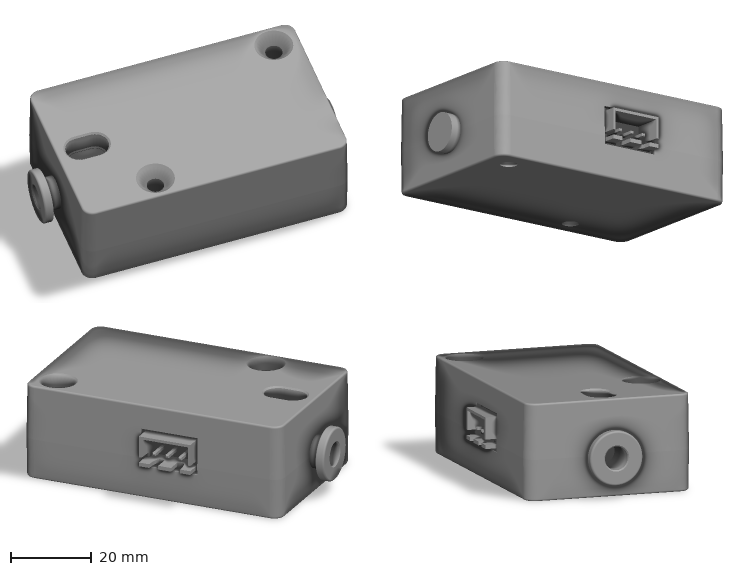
import cadquery as cq


housing_width = 43.6
housing_length = 70.15
upper_height = 14.1
lower_height = 10.56
corner_radius = 3.0
draft_angle = 1.0
rim_fillet = 0.5
left_wall = -housing_width / 2
front_wall = -housing_length / 2

screw_positions = [(-15.7, 28.1), (15.7, -14.3)]
screw_hole_diameter = 4.3
countersink_diameter = 9.65
countersink_angle = 90

window_y = -26.7
window_width = 7.1
window_length = 11.2
window_bevel = 0.4
window_depth = 4.6
window_draft = 4.0
window_floor_width = 5.4
window_floor_length = 9.6
window_floor_drop = 0.15

stub_diameter = 10.0
stub_length = 2.7

neck_diameter = 8.5
flange_diameter = 13.8
flange_thickness = 2.3
flange_front_fillet = 0.5
flange_back_fillet = 0.3
plunger_reach = 5.08
plunger_insertion = 10.0
bore_diameter = 6.0
bore_chamfer = 0.3
bore_depth = 10.0
plunger_tip = front_wall - plunger_reach

connector_y = -4.75
connector_reach = 2.62
connector_width = 14.0
connector_front = left_wall - connector_reach

recess_width = 15.4
recess_bottom = -2.1
recess_top = 7.75
recess_depth = 1.5
recess_floor = left_wall + recess_depth

hood_bottom = 1.2
hood_top = 6.8
tongue_bottom = -1.2
tongue_top = -0.2

cavity_depth = 7.0
cavity_mouth_width = 12.6
cavity_mouth_top = 6.1
cavity_back_width = 11.8
cavity_back_top = 5.85

slot_inner_offset = 1.75
slot_mouth_offset = 4.2
slot_end_offset = 3.2

pin_count = 3
pin_pitch = 3.53
pin_width = 0.9
pin_height = 0.75
pin_z = 2.0
pin_setback = 1.4
pin_tip_chamfer = 0.2


def housing_half(height):
    """Drafted half that rises from the parting plane to a rounded rim."""
    outline = cq.Sketch().rect(housing_width, housing_length).vertices().fillet(corner_radius)
    half = cq.Workplane("XY").placeSketch(outline).extrude(height, taper=draft_angle)
    return half.faces(">Z").edges().fillet(rim_fillet)


def window_cutter(length, width, depth, taper=0):
    """Rounded slot along Y, cut down from the top face."""
    top = cq.Workplane("XY", origin=(0, window_y, upper_height))
    return top.slot2D(length, width, 90).extrude(-depth, taper=taper)


def cylinder_along_y(diameter, start_y, length):
    """Cylinder on the plunger axis that runs from start_y toward +Y."""
    return cq.Workplane("XZ", origin=(0, start_y, 0)).circle(diameter / 2).extrude(-length)


def connector_block(x_start, x_end, y_centre, width, z_bottom, z_top):
    """Block between two X and two Z levels, centred on y_centre."""
    block = cq.Workplane("XY").box(
        x_end - x_start, width, z_top - z_bottom, centered=(False, True, False)
    )
    return block.translate((x_start, y_centre, z_bottom))


def make_cavity():
    """Tapered cavity that opens at the front of the hood and stands on the tongue."""
    mouth_height = cavity_mouth_top - tongue_top
    back_height = cavity_back_top - tongue_top
    mouth = cq.Workplane("YZ", origin=(connector_front, connector_y, tongue_top + mouth_height / 2))
    return (
        mouth.rect(cavity_mouth_width, mouth_height)
        .workplane(offset=cavity_depth)
        .center(0, (back_height - mouth_height) / 2)
        .rect(cavity_back_width, back_height)
        .loft(ruled=True)
    )


def make_tongue_slot(side):
    """Slot through the tongue, on the +Y (side = 1) or -Y (side = -1) half."""
    return (
        cq.Workplane("XY", origin=(0, connector_y, tongue_bottom))
        .moveTo(connector_front, side * slot_inner_offset)
        .lineTo(connector_front, side * slot_mouth_offset)
        .spline(
            [(recess_floor, side * slot_end_offset)],
            tangents=[(1, 0), (1, -side)],
            includeCurrent=True,
        )
        .lineTo(recess_floor, side * slot_inner_offset)
        .close()
        .extrude(tongue_top - tongue_bottom)
    )


def make_pin(y_centre):
    """Square pin that stands forward from the back of the cavity."""
    pin = connector_block(
        connector_front + pin_setback,
        connector_front + cavity_depth,
        y_centre,
        pin_width,
        pin_z - pin_height / 2,
        pin_z + pin_height / 2,
    )
    return pin.faces("<X").chamfer(pin_tip_chamfer)


def add_connector(body):
    """Cut the recess into the -X wall and form the connector inside it."""
    body = body.cut(
        connector_block(
            connector_front, recess_floor, connector_y, recess_width, recess_bottom, recess_top
        )
    )
    for bottom, top in [(hood_bottom, hood_top), (tongue_bottom, tongue_top)]:
        body = body.union(
            connector_block(
                connector_front, recess_floor, connector_y, connector_width, bottom, top
            )
        )
    body = body.cut(make_cavity())
    for side in (-1, 1):
        body = body.cut(make_tongue_slot(side))
    for index in range(pin_count):
        body = body.union(make_pin(connector_y + (index - (pin_count - 1) / 2) * pin_pitch))
    return body


def make_plunger_blank():
    """Plunger without its bore: a rod with a rounded flange at the tip."""
    flange = cylinder_along_y(flange_diameter, plunger_tip, flange_thickness)
    flange = flange.faces("<Y").edges().fillet(flange_front_fillet)
    flange = flange.faces(">Y").edges().fillet(flange_back_fillet)
    return flange.union(
        cylinder_along_y(neck_diameter, plunger_tip + flange_front_fillet,
                         plunger_reach + plunger_insertion - flange_front_fillet)
    )


def make_housing():
    body = housing_half(upper_height).union(housing_half(lower_height).mirror("XY"))
    body = (
        body.faces(">Z")
        .workplane(origin=(0, 0, upper_height))
        .pushPoints(screw_positions)
        .cskHole(screw_hole_diameter, countersink_diameter, countersink_angle)
    )

    rim_length = window_length + 2 * window_bevel
    rim_width = window_width + 2 * window_bevel
    body = body.cut(window_cutter(rim_length, rim_width, window_bevel, taper=45))
    body = body.cut(window_cutter(window_length, window_width, window_depth, taper=window_draft))
    body = body.cut(
        window_cutter(window_floor_length, window_floor_width, window_depth + window_floor_drop)
    )

    body = body.union(cylinder_along_y(stub_diameter, 0, housing_length / 2 + stub_length))

    body = add_connector(body)
    return body.cut(make_plunger_blank())


def make_plunger():
    plunger = make_plunger_blank().cut(cylinder_along_y(bore_diameter, plunger_tip, bore_depth))
    bore_edge = cq.selectors.RadiusNthSelector(0)
    return plunger.faces("<Y").edges(bore_edge).chamfer(bore_chamfer)


housing = make_housing()
plunger = make_plunger()

result = cq.Compound.makeCompound([housing.val(), plunger.val()])